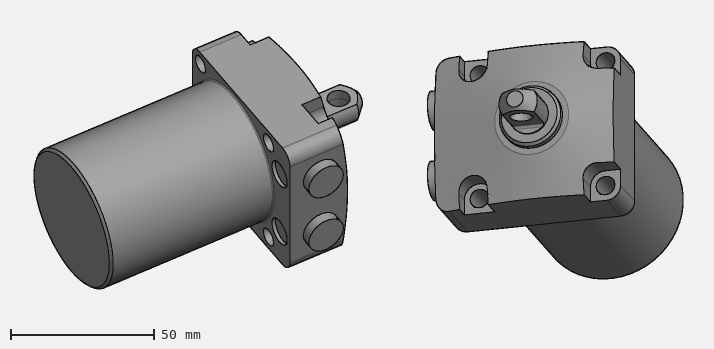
import cadquery as cq
import math


block_height = 57.0
block_left = -block_height / 2
block_right = 37.5
block_corner_radius = 5.0
crown_height = 30.0
crown_flat_radius = 13.5
crown_slope = 15.0

barrel_length = 66.5
barrel_radius = 26.5
barrel_end_chamfer = 1.0
barrel_root_fillet = 0.5

gland_radius = 11.2
gland_top = 33.1
gland_chamfer = 1.0

screw_offset = 23.0
screw_hole_diameter = 6.8
screw_head_radius = 5.5
screw_seat_height = 17.0

port_x = 30.5
port_z = 14.0
port_diameter = 10.2
port_depth = 1.4

plug_diameter = 14.0
plug_projection = 3.8
plug_y = 12.5
plug_z = 13.0

rod_radius = 7.0
rod_tip = 50.5
rod_tip_chamfer = 4.0
rod_shoulder = 33.6
eye_thickness = 8.0
eye_root_fillet = 1.0
eye_hole_diameter = 8.0
eye_hole_to_tip = 8.0
eye_hole_y = rod_tip - eye_hole_to_tip


def revolve_about_y(profile):
    """Full turn of a half profile, drawn in XY, about the Y axis."""
    return profile.close().revolve(360, (0, 0, 0), (0, 1, 0))


def make_block():
    """Flange block with rounded corners and a shallow conical crown."""
    width = block_right - block_left
    prism = (
        cq.Workplane("XZ")
        .center((block_left + block_right) / 2, 0)
        .rect(width, block_height)
        .extrude(-crown_height)
        .edges("|Y")
        .fillet(block_corner_radius)
    )
    cone_radius = math.hypot(block_right, block_height / 2)
    cone_drop = (cone_radius - crown_flat_radius) * math.tan(math.radians(crown_slope))
    crown = revolve_about_y(
        cq.Workplane("XY")
        .lineTo(cone_radius, 0)
        .lineTo(cone_radius, crown_height - cone_drop)
        .lineTo(crown_flat_radius, crown_height)
        .lineTo(0, crown_height)
    )
    return prism.intersect(crown)


def make_barrel():
    """Round barrel with a chamfered end and a root fillet against the block."""
    inner_radius = barrel_radius - barrel_end_chamfer
    fillet_mid = barrel_root_fillet * (1 - math.sqrt(0.5))
    return revolve_about_y(
        cq.Workplane("XY")
        .moveTo(0, -barrel_length)
        .lineTo(inner_radius, -barrel_length)
        .lineTo(barrel_radius, -barrel_length + barrel_end_chamfer)
        .lineTo(barrel_radius, -barrel_root_fillet)
        .threePointArc(
            (barrel_radius + fillet_mid, -fillet_mid),
            (barrel_radius + barrel_root_fillet, 0),
        )
        .lineTo(0, 0)
    )


def make_gland():
    """Chamfered ring on top of the crown."""
    return (
        cq.Workplane("XZ", origin=(0, crown_height, 0))
        .circle(gland_radius)
        .extrude(crown_height - gland_top)
        .faces(">Y")
        .chamfer(gland_chamfer)
    )


def make_screw_pocket(side_x, side_z):
    """Clearance hole and head seat; open toward the nearest Z side, and toward -X on the left."""
    x = side_x * screw_offset
    z = side_z * screw_offset
    hole = cq.Workplane("XZ").center(x, z).circle(screw_hole_diameter / 2).extrude(-crown_height)
    seat_plane = cq.Workplane("XZ", origin=(0, screw_seat_height, 0))
    seat_depth = crown_height - screw_seat_height
    reach = block_height / 2 - screw_offset
    head = seat_plane.center(x, z).circle(screw_head_radius).extrude(-seat_depth)
    exit_z = (
        seat_plane.center(x, z + side_z * reach / 2)
        .rect(2 * screw_head_radius, reach)
        .extrude(-seat_depth)
    )
    pocket = hole.union(head).union(exit_z)
    if side_x < 0:
        exit_x = (
            seat_plane.center(x - reach / 2, z)
            .rect(reach, 2 * screw_head_radius)
            .extrude(-seat_depth)
        )
        pocket = pocket.union(exit_x)
    return pocket


def make_housing():
    """Block, barrel and gland as one body, with screw pockets and port recesses."""
    body = make_block().union(make_barrel()).union(make_gland())
    for side_x in (-1, 1):
        for side_z in (-1, 1):
            body = body.cut(make_screw_pocket(side_x, side_z))
    ports = (
        cq.Workplane("XZ")
        .pushPoints([(port_x, -port_z), (port_x, port_z)])
        .circle(port_diameter / 2)
        .extrude(-port_depth)
    )
    return body.cut(ports)


def make_rod():
    """Rod standing on the gland, its end flattened into an eye with a coned tip."""
    rod = revolve_about_y(
        cq.Workplane("XY")
        .moveTo(0, gland_top)
        .lineTo(rod_radius, gland_top)
        .lineTo(rod_radius, rod_tip - rod_tip_chamfer)
        .lineTo(rod_radius - rod_tip_chamfer, rod_tip)
        .lineTo(0, rod_tip)
    )
    cheek_length = rod_tip - rod_shoulder
    cheek = (
        cq.Workplane("XY", origin=(0, rod_shoulder + cheek_length / 2, eye_thickness / 2))
        .rect(2 * rod_radius, cheek_length)
        .extrude(rod_radius)
        .edges("|X and <Y and <Z")
        .fillet(eye_root_fillet)
    )
    rod = rod.cut(cheek).cut(cheek.mirror("XY"))
    eye_hole = (
        cq.Workplane("XY")
        .center(0, eye_hole_y)
        .circle(eye_hole_diameter / 2)
        .extrude(eye_thickness / 2, both=True)
    )
    return rod.cut(eye_hole)


def make_plug(side_z):
    """Round plug seated on the +X side face."""
    return (
        cq.Workplane("YZ", origin=(block_right, plug_y, side_z * plug_z))
        .circle(plug_diameter / 2)
        .extrude(plug_projection)
    )


housing = make_housing()
rod = make_rod()
plugs = [make_plug(side_z) for side_z in (-1, 1)]

result = cq.Compound.makeCompound(
    [housing.solids().val(), rod.solids().val(), *[plug.val() for plug in plugs]]
)